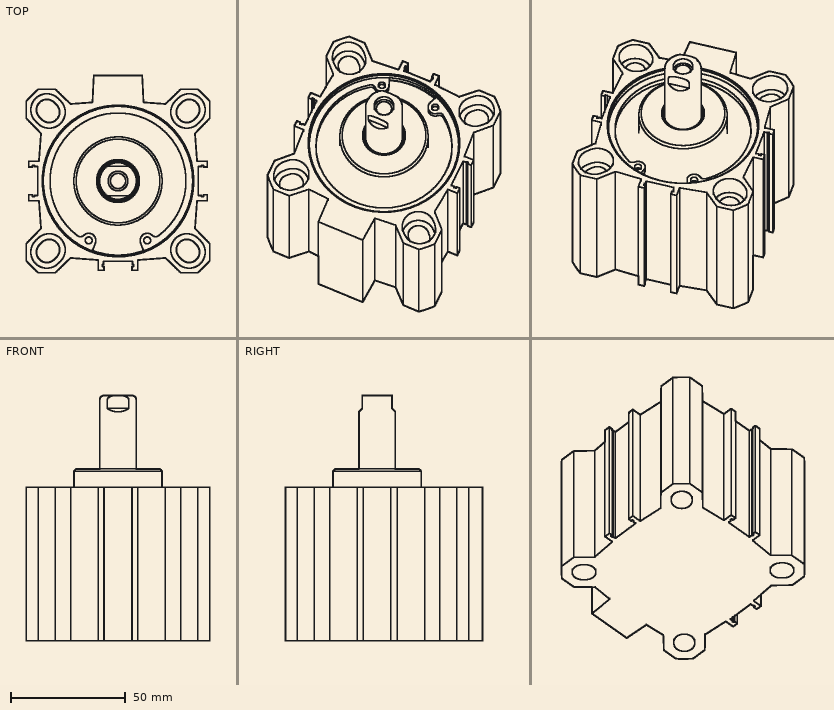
import cadquery as cq
import math


chamfer_angle = 45.0

housing_height = 67.0
half_width = 40.0
corner_diameter = 106.0
post_end = 27.3
post_root_x = 20.7
post_root_y = 33.6
wall_center = 34.5

rail_half_width = 8.7
rail_reach = 39.0
rail_floor = 35.0
rail_neck_half = 6.3
rail_groove_half = 6.7
rail_groove_start = 36.4
rail_lip_half = 6.0
rail_lip_start = 37.3

port_reach = 46.0
port_half_outer = 10.6
port_half_base = 11.2

mount_pitch = 61.0
mount_stretch = math.hypot(1.0, 1.0)
mount_hole_diameter = 9.0
mount_counterbore_diameter = 14.0
mount_counterbore_depth = 9.5

pocket_diameter = 65.1
pocket_chamfer = 0.5
ring_depth = 3.0
ring_top = housing_height - ring_depth
ring_thickness = 2.5
ring_bottom = ring_top - ring_thickness
ring_outer_diameter = 68.2
cover_plate_thickness = 10.0
pocket_floor = ring_bottom - cover_plate_thickness

ring_inner_diameter = 59.3
ear_x = 12.75
ear_y = -25.9
ear_radius = 3.1
ear_hole_diameter = 3.0
ear_fillet = 2.0

cover_diameter = 64.7
collar_diameter = 38.5
collar_height = 8.0
collar_top = housing_height + collar_height
collar_chamfer = 1.0
collar_root_fillet = 0.8
wiper_seat_diameter = 17.7
wiper_seat_depth = 1.0
wiper_chamfer = 0.5
seat_lip_diameter = 16.54
seat_lip_depth = 1.0

rod_diameter = 16.0
rod_top = 107.0
rod_tip_fillet = 2.0
across_flats = 13.0
flat_length = 5.7
thread_relief_diameter = 8.57
thread_relief_depth = 3.0
tap_diameter = 6.65
tap_depth = 20.0
drill_point_angle = 118.0


def corner_points():
    """Points from the +X wall to the round edge of one post, and the middle of that edge."""
    corner_radius = corner_diameter / 2
    arc_end = math.sqrt(corner_radius**2 - half_width**2)
    arc_middle = corner_radius * math.sqrt(0.5)
    side = [
        (wall_center, rail_half_width),
        (post_root_y, post_root_x),
        (half_width, post_end),
        (half_width, arc_end),
    ]
    return side, (arc_middle, arc_middle)


def turned(point, quarter_turns):
    """The point turned counterclockwise about the rod axis."""
    x, y = point
    for _ in range(quarter_turns):
        x, y = -y, x
    return x, y


def housing_outline():
    """Closed outline of the four posts and the walls between them."""
    side, arc_middle = corner_points()
    mirrored_side = [(y, x) for x, y in reversed(side)]
    outline = cq.Workplane("XY").moveTo(*side[0])
    for quarter in range(4):
        for point in side[1:]:
            outline = outline.lineTo(*turned(point, quarter))
        outline = outline.threePointArc(turned(arc_middle, quarter), turned(mirrored_side[0], quarter))
        for point in mirrored_side[1:]:
            outline = outline.lineTo(*turned(point, quarter))
        outline = outline.lineTo(*turned(side[0], quarter + 1))
    return outline.close()


def sensor_rail():
    """Slotted rail on the -Y side."""
    half = [
        (rail_half_width, -rail_reach),
        (rail_lip_half, -rail_reach),
        (rail_lip_half, -rail_lip_start),
        (rail_groove_half, -rail_lip_start),
        (rail_groove_half, -rail_groove_start),
        (rail_neck_half, -rail_groove_start),
        (rail_neck_half, -rail_floor),
    ]
    rooted = [(rail_half_width, -post_root_y)] + half
    other_half = [(-x, y) for x, y in reversed(rooted)]
    return cq.Workplane("XY").polyline(rooted + other_half).close().extrude(housing_height)


def port_block():
    """Full-height block on the +Y side, slightly narrower at its outer face."""
    points = [
        (-port_half_base, post_root_y),
        (port_half_base, post_root_y),
        (port_half_outer, port_reach),
        (-port_half_outer, port_reach),
    ]
    return cq.Workplane("XY").polyline(points).close().extrude(housing_height)


def mounting_hole(x, y):
    """Counterbored through hole, stretched across the post's diagonal."""
    stretch_angle = 135.0 if x * y < 0 else 45.0

    def slot(diameter, bottom):
        return (
            cq.Workplane("XY", origin=(x, y, bottom))
            .slot2D(mount_stretch + diameter, diameter, stretch_angle)
            .extrude(housing_height - bottom)
        )

    counterbore = slot(mount_counterbore_diameter, housing_height - mount_counterbore_depth)
    return slot(mount_hole_diameter, 0).union(counterbore)


def disc(diameter, bottom, top):
    return cq.Workplane("XY", origin=(0, 0, bottom)).circle(diameter / 2).extrude(top - bottom)


def make_housing():
    """Extruded body with rails, port block, mounting holes and a grooved front pocket."""
    housing = housing_outline().extrude(housing_height)
    for angle in (-90, 0, 90):
        housing = housing.union(sensor_rail().rotate((0, 0, 0), (0, 0, 1), angle))
    housing = housing.union(port_block())
    for sign_x in (-1, 1):
        for sign_y in (-1, 1):
            housing = housing.cut(mounting_hole(sign_x * mount_pitch / 2, sign_y * mount_pitch / 2))
    mouth = disc(pocket_diameter, pocket_floor, housing_height)
    chamfer_cone = (
        cq.Workplane("XY", origin=(0, 0, housing_height))
        .circle(pocket_diameter / 2 + pocket_chamfer)
        .extrude(-pocket_chamfer, taper=chamfer_angle)
    )
    return housing.cut(mouth).cut(chamfer_cone).cut(disc(ring_outer_diameter, ring_bottom, ring_top))


def make_retaining_ring():
    """Open ring whose two ears are tangent to the radial edges of its gap."""
    ear_distance = math.hypot(ear_x, ear_y)
    gap_half_angle = math.atan2(ear_x, -ear_y) - math.asin(ear_radius / ear_distance)
    tangent_distance = math.sqrt(ear_distance**2 - ear_radius**2)
    ring_middle = (ring_inner_diameter + ring_outer_diameter) / 4
    base = cq.Workplane("XY", origin=(0, 0, ring_bottom))

    def gap_edge_point(side, distance):
        return side * distance * math.sin(gap_half_angle), -distance * math.cos(gap_half_angle)

    gap_corners = [gap_edge_point(side, ring_outer_diameter) for side in (-1, 1)]
    gap = base.polyline([(0, 0)] + gap_corners).close().extrude(ring_thickness)
    ring = disc(ring_outer_diameter, ring_bottom, ring_top)
    ring = ring.cut(disc(ring_inner_diameter, ring_bottom, ring_top)).cut(gap)

    ear_centers = [(side * ear_x, ear_y) for side in (-1, 1)]
    for side, center in zip((-1, 1), ear_centers):
        ear = base.pushPoints([center]).circle(ear_radius).extrude(ring_thickness)
        web_points = [
            center,
            gap_edge_point(side, tangent_distance),
            gap_edge_point(side, ring_middle),
        ]
        web = base.polyline(web_points).close().extrude(ring_thickness)
        ring = ring.union(ear).union(web)

    for side in (-1, 1):
        corner_finder = cq.selectors.BoxSelector(
            (side * (ear_x + ear_radius / 2), ear_y, ring_bottom),
            (side * (ear_x + 2 * ear_radius), ear_y + ear_radius, ring_top),
        )
        ring = ring.edges("|Z").edges(corner_finder).fillet(ear_fillet)

    ear_holes = base.pushPoints(ear_centers).circle(ear_hole_diameter / 2).extrude(ring_thickness)
    return ring.cut(ear_holes)


def make_cover():
    """Plate held by the ring, with a collar that guides the rod."""
    collar = disc(collar_diameter, pocket_floor, collar_top)
    collar = collar.faces(">Z").edges().chamfer(collar_chamfer)
    cover = disc(cover_diameter, pocket_floor, ring_bottom).union(collar)
    collar_root = cq.selectors.RadiusNthSelector(0)
    cover = cover.faces("<Z[-2]").edges(collar_root).fillet(collar_root_fillet)

    wiper_seat = disc(wiper_seat_diameter, collar_top - wiper_seat_depth, collar_top)
    wiper_mouth = (
        cq.Workplane("XY", origin=(0, 0, collar_top))
        .circle(wiper_seat_diameter / 2 + wiper_chamfer)
        .extrude(-wiper_chamfer, taper=chamfer_angle)
    )
    lip_top = collar_top - wiper_seat_depth
    seat_lip = disc(seat_lip_diameter, lip_top - seat_lip_depth, lip_top)
    rod_bore = disc(rod_diameter, pocket_floor, collar_top)
    return cover.cut(rod_bore).cut(wiper_seat).cut(wiper_mouth).cut(seat_lip)


def rod_flat():
    """Material removed on the +Y side of the rod tip, with a 45 degree run-out."""
    flat_y = across_flats / 2
    rod_radius = rod_diameter / 2
    flat_bottom = rod_top - flat_length
    points = [
        (flat_y, rod_top),
        (flat_y, flat_bottom),
        (rod_radius, flat_bottom - (rod_radius - flat_y)),
        (rod_radius, rod_top),
    ]
    return cq.Workplane("YZ").polyline(points).close().extrude(rod_radius, both=True)


def make_rod():
    """Rod with a rounded tip, two wrench flats and a threaded end hole."""
    rod = disc(rod_diameter, pocket_floor, rod_top).faces(">Z").edges().fillet(rod_tip_fillet)
    for angle in (0, 180):
        rod = rod.cut(rod_flat().rotate((0, 0, 0), (0, 0, 1), angle))
    relief_radius = thread_relief_diameter / 2
    tap_radius = tap_diameter / 2
    relief_floor = rod_top - thread_relief_depth
    tap_bottom = rod_top - tap_depth
    tip_height = tap_radius / math.tan(math.radians(drill_point_angle / 2))
    hole_profile = [
        (0, rod_top),
        (relief_radius, rod_top),
        (relief_radius, relief_floor),
        (tap_radius, relief_floor),
        (tap_radius, tap_bottom),
        (0, tap_bottom - tip_height),
    ]
    threaded_hole = cq.Workplane("XZ").polyline(hole_profile).close().revolve(360, (0, 0), (0, 1))
    return rod.cut(threaded_hole)


housing = make_housing()
retaining_ring = make_retaining_ring()
cover = make_cover()
rod = make_rod()

bodies = [housing, retaining_ring, cover, rod]
result = cq.Compound.makeCompound([body.solids().val() for body in bodies])